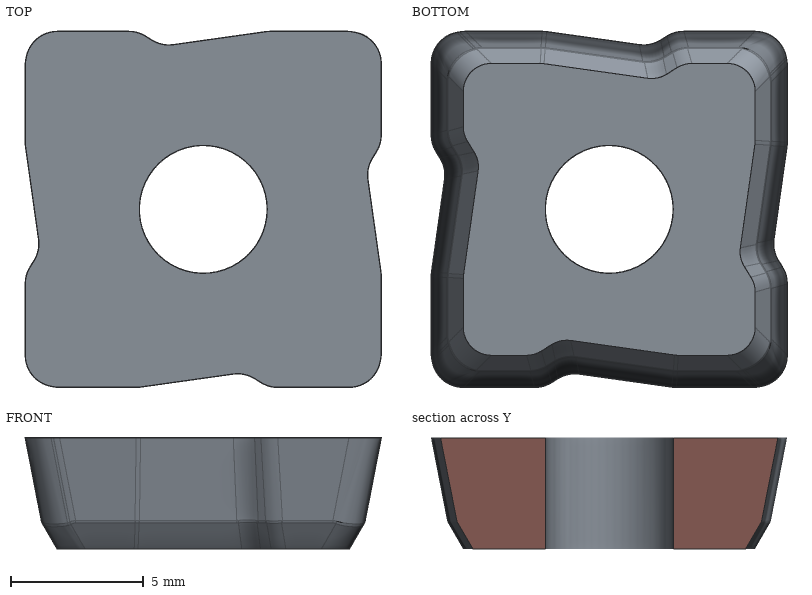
import math

import cadquery as cq

width = 13.4
thickness = 4.2
half_width = width / 2
hole_diameter = 4.8

upper_relief = 11.0
lower_relief = 30.0
break_height = 1.03
break_fillet = 0.3
upper_slope = math.tan(math.radians(upper_relief))
lower_slope = math.tan(math.radians(lower_relief))
break_inset = (thickness - break_height) * upper_slope
bottom_inset = break_inset + break_height * lower_slope

notch_start = -2.44
notch_end = 2.46
notch_floor_angle = 8.0
notch_wall_angle = 32.0

facet_end = -5.52
facet_angle = 11.0

upper_radius = 1.2
lower_radius = 1.05

side_count = 4


def turned(point, degrees):
    """Rotate a plan point about the hole axis."""
    c = math.cos(math.radians(degrees))
    s = math.sin(math.radians(degrees))
    return (point[0] * c - point[1] * s, point[0] * s + point[1] * c)


def side_lines(inset, with_facet):
    """Lines bounding the plan, counter-clockwise, as (point, heading in degrees).

    The notch lines move in squarely by the inset; the facet moves along with its corner.
    """
    edge_y = inset - half_width
    floor_shift = inset * math.tan(math.radians(notch_floor_angle / 2))
    wall_shift = inset * math.tan(math.radians(notch_wall_angle / 2))
    front_side = [
        ((notch_start - floor_shift, edge_y), 0),
        ((notch_start - floor_shift, edge_y), notch_floor_angle),
        ((notch_end + wall_shift, edge_y), -notch_wall_angle),
        ((notch_end + wall_shift, edge_y), 0),
    ]
    if with_facet:
        front_side.insert(0, ((facet_end + inset, edge_y), -facet_angle))
    lines = []
    for side in range(side_count):
        side_angle = side * 360 / side_count
        for point, heading in front_side:
            lines.append((turned(point, side_angle), heading + side_angle))
    return lines


def crossing(first, second):
    """Point where two lines meet."""
    (ax, ay), a_heading = first
    (bx, by), b_heading = second
    a_dir = turned((1, 0), a_heading)
    b_dir = turned((1, 0), b_heading)
    determinant = a_dir[0] * b_dir[1] - a_dir[1] * b_dir[0]
    distance = ((bx - ax) * b_dir[1] - (by - ay) * b_dir[0]) / determinant
    return (ax + distance * a_dir[0], ay + distance * a_dir[1])


def plan_wire(inset, height, with_facet, radius):
    """Plan outline at one height, with every vertex rounded."""
    lines = side_lines(inset, with_facet)
    arcs = []
    for first, second in zip(lines, lines[1:] + lines[:1]):
        vertex = crossing(first, second)
        turn = (second[1] - first[1] + 180) % 360 - 180
        half_turn = math.radians(abs(turn) / 2)
        tangent_length = radius * math.tan(half_turn)
        vertex_gap = radius / math.cos(half_turn) - radius
        toward_centre = math.copysign(vertex_gap, turn)
        offsets = [
            turned((-tangent_length, 0), first[1]),
            turned((0, toward_centre), first[1] + turn / 2),
            turned((tangent_length, 0), second[1]),
        ]
        arcs.append([cq.Vector(vertex[0] + dx, vertex[1] + dy, height) for dx, dy in offsets])
    edges = []
    for arc, next_arc in zip(arcs, arcs[1:] + arcs[:1]):
        edges.append(cq.Edge.makeThreePointArc(*arc))
        edges.append(cq.Edge.makeLine(arc[-1], next_arc[0]))
    return cq.Wire.assembleEdges(edges)


def leaning_body(base_inset, top_inset, with_facet, radius):
    """Full-thickness body whose outline keeps its radii while the sides lean in."""
    bottom = plan_wire(base_inset, 0, with_facet, radius)
    top = plan_wire(top_inset, thickness, with_facet, radius)
    return cq.Workplane(obj=cq.Solid.makeLoft([bottom, top], True))


def upper_body():
    return leaning_body(thickness * upper_slope, 0, True, upper_radius)


def lower_body():
    top_inset = bottom_inset - thickness * lower_slope
    return leaning_body(bottom_inset, top_inset, False, lower_radius)


def round_break(body):
    """Round the edge where the two flanks meet; it dips slightly at the corners."""
    zone = cq.selectors.BoxSelector(
        (-width, -width, break_height - break_fillet),
        (width, width, break_height + break_fillet),
    )
    return body.edges(zone).fillet(break_fillet)


def cut_hole(body):
    hole = cq.Workplane().circle(hole_diameter / 2).extrude(thickness)
    return body.cut(hole)


flanks = upper_body().intersect(lower_body())
result = cut_hole(round_break(flanks))